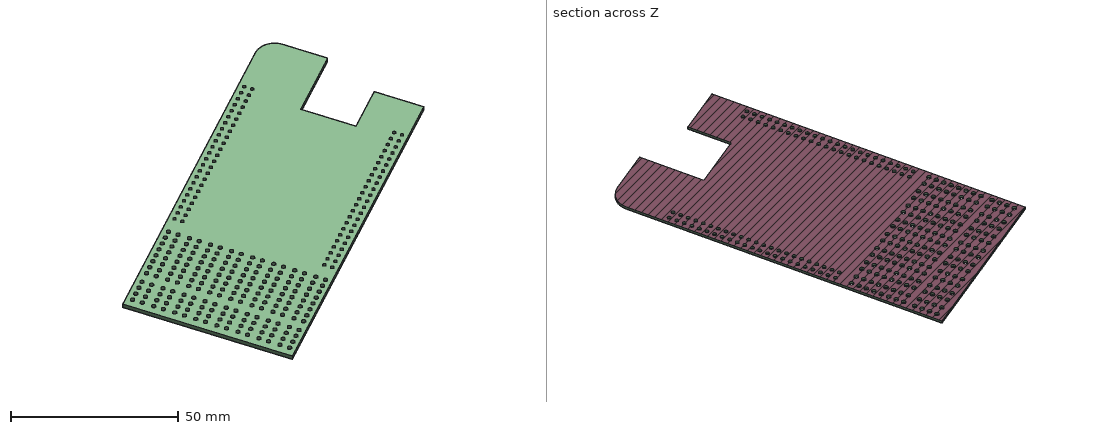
import cadquery as cq

BOARD_WIDTH = 54.61
BOARD_LENGTH = 112.3
BOARD_THICKNESS = 1.6
CORNER_RADIUS = 6.35

NOTCH_LEFT = 20.86
NOTCH_WIDTH = 17.78
NOTCH_DEPTH = 21.59
TAB_SETBACK = 6.985

HEADER_HOLE_DIAMETER = 1.02
HEADER_PITCH = 2.54
HEADER_ROWS = 23
HEADER_EDGE_MARGIN = 1.905
HEADER_FIRST_ROW_Y = 36.73

TERMINAL_HOLE_DIAMETER = 1.25
TERMINAL_PAIRS = 8
TERMINAL_PAIR_PITCH = 6.78
TERMINAL_PAIR_GAP = 3.12
TERMINAL_FIRST_X = 2.08
TERMINAL_ROW_PITCH = 2.5
LOWER_BLOCK_ROWS = 4
LOWER_BLOCK_Y = 2.75
UPPER_BLOCK_ROWS = 8
UPPER_BLOCK_Y = 13.95


def row_positions(first_y, pitch, count):
    return [first_y + pitch * row for row in range(count)]


def grid_points(columns, rows):
    return [(x, y) for x in columns for y in rows]


def make_board():
    notch_right = NOTCH_LEFT + NOTCH_WIDTH
    notch_floor = BOARD_LENGTH - NOTCH_DEPTH
    tab_end = BOARD_LENGTH - TAB_SETBACK
    outline = (
        cq.Workplane("XY")
        .moveTo(0, 0)
        .lineTo(BOARD_WIDTH, 0)
        .lineTo(BOARD_WIDTH, tab_end)
        .lineTo(notch_right, tab_end)
        .lineTo(notch_right, notch_floor)
        .lineTo(NOTCH_LEFT, notch_floor)
        .lineTo(NOTCH_LEFT, BOARD_LENGTH)
        .lineTo(CORNER_RADIUS, BOARD_LENGTH)
        .radiusArc((0, BOARD_LENGTH - CORNER_RADIUS), -CORNER_RADIUS)
        .close()
    )
    return outline.extrude(BOARD_THICKNESS)


def header_points():
    outer_left = HEADER_EDGE_MARGIN
    inner_left = outer_left + HEADER_PITCH
    columns = [outer_left, inner_left, BOARD_WIDTH - inner_left, BOARD_WIDTH - outer_left]
    rows = row_positions(HEADER_FIRST_ROW_Y, HEADER_PITCH, HEADER_ROWS)
    return grid_points(columns, rows)


def terminal_points():
    columns = []
    for pair in range(TERMINAL_PAIRS):
        pair_x = TERMINAL_FIRST_X + TERMINAL_PAIR_PITCH * pair
        columns += [pair_x, pair_x + TERMINAL_PAIR_GAP]
    lower_rows = row_positions(LOWER_BLOCK_Y, TERMINAL_ROW_PITCH, LOWER_BLOCK_ROWS)
    upper_rows = row_positions(UPPER_BLOCK_Y, TERMINAL_ROW_PITCH, UPPER_BLOCK_ROWS)
    return grid_points(columns, lower_rows + upper_rows)


def make_hole_pins(points, diameter):
    return cq.Workplane("XY").pushPoints(points).circle(diameter / 2).extrude(BOARD_THICKNESS)


board = make_board()
header_pins = make_hole_pins(header_points(), HEADER_HOLE_DIAMETER)
terminal_pins = make_hole_pins(terminal_points(), TERMINAL_HOLE_DIAMETER)
result = board.cut(header_pins).cut(terminal_pins)